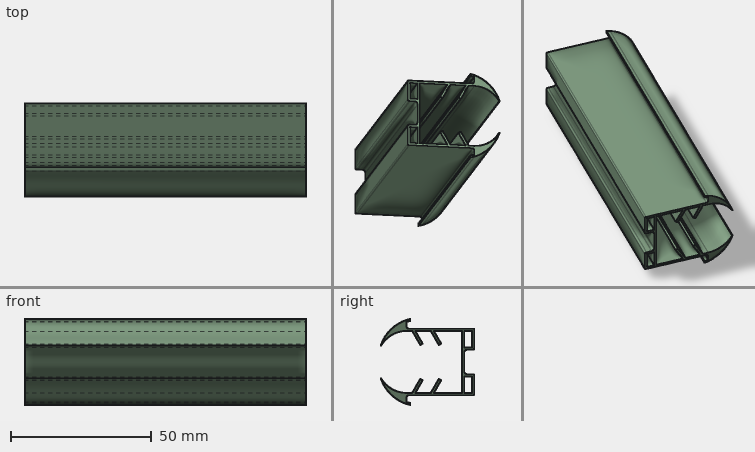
import cadquery as cq
import math

length = 100.0
depth = 33.4
height = 30.7
wall = 0.9

body_half_height = 11.9
web_front = 4.5
channel_half_height = 4.3
channel_fillet = 1.0
channel_edge_fillet = 0.7
rear_corner_fillet = 0.5

jaw_start = 24.1
jaw_step_fillet = 0.7
lip_overhang = 1.3
lip_thickness = 0.8
lip_slope = 0.25
jaw_tip_half_gap = 5.8
jaw_tip_width = 0.2
jaw_outer_radius = 14.8

rib_angle = 60.0
rib_thickness = 1.0
rib_length = 5.2
rib_first_root = 14.4
rib_pitch = 6.6
rib_count = 2

back = depth / 2
half_height = height / 2
inner_half_height = body_half_height - wall
web_back = web_front - wall


def block(near, far, bottom, top):
    """Full-length bar between two depths from the back face and two heights."""
    return (
        cq.Workplane("XY")
        .box(length, far - near, top - bottom, centered=(True, False, False))
        .translate((0, back - far, bottom))
    )


def section(start_depth, start_height):
    """Start a section outline at a depth from the back face and a height."""
    return cq.Workplane("YZ", origin=(-length / 2, 0, 0)).moveTo(back - start_depth, start_height)


def rear_body():
    """Web with a hollow chamber above and below the open rear channel."""
    body = block(0, web_front, -body_half_height, body_half_height)
    channel = block(0, web_back, -channel_half_height, channel_half_height)
    channel = channel.edges("|X and <Y").fillet(channel_fillet)
    body = body.cut(channel)
    body = body.faces(">Y").edges("|X").edges(">Z or <Z").fillet(rear_corner_fillet)
    channel_zone = cq.selectors.BoxSelector(
        (-length, back - wall, -channel_half_height - wall),
        (length, back + wall, channel_half_height + wall),
    )
    body = body.faces(">Y").edges("|X").edges(channel_zone).fillet(channel_edge_fillet)
    chamber = block(wall, web_back, channel_half_height + wall, inner_half_height)
    return body.cut(chamber).cut(chamber.mirror("XY"))


def jaw():
    """Upper crescent: hooked lip at the rear, narrow blunt tip at the front."""
    lip_back = jaw_start - lip_overhang
    lip_bottom = half_height - lip_thickness
    lip_drop = lip_slope * lip_overhang
    run = depth - jaw_tip_width - jaw_start
    drop = inner_half_height - jaw_tip_half_gap
    inner_radius = (run**2 + drop**2) / (2 * drop)
    return (
        section(jaw_start, inner_half_height)
        .lineTo(back - jaw_start, lip_bottom - lip_drop)
        .lineTo(back - lip_back, lip_bottom)
        .lineTo(back - lip_back, half_height)
        .lineTo(back - jaw_start, half_height - lip_drop)
        .radiusArc((back - depth, jaw_tip_half_gap), -jaw_outer_radius)
        .lineTo(back - depth + jaw_tip_width, jaw_tip_half_gap)
        .radiusArc((back - jaw_start, inner_half_height), inner_radius)
        .close()
        .extrude(length)
    )


def step_fillet():
    """Concave fillet between the top wall and the step of the jaw."""
    corner = block(
        jaw_start - jaw_step_fillet, jaw_start,
        body_half_height, body_half_height + jaw_step_fillet,
    )
    round_cut = (
        section(jaw_start - jaw_step_fillet, body_half_height + jaw_step_fillet)
        .circle(jaw_step_fillet)
        .extrude(length)
    )
    return corner.cut(round_cut)


def rib(root):
    """Slanted rib hanging from the top wall and leaning to the back."""
    angle = math.radians(rib_angle)
    tip_depth = root - rib_length * math.cos(angle)
    tip_height = inner_half_height - rib_length * math.sin(angle)
    root_width = rib_thickness / math.sin(angle)
    embed = wall / 2
    embed_shift = embed / math.tan(angle)
    return (
        section(root + embed_shift, inner_half_height + embed)
        .lineTo(back - tip_depth, tip_height)
        .lineTo(
            back - tip_depth - rib_thickness * math.sin(angle),
            tip_height - rib_thickness * math.cos(angle),
        )
        .lineTo(back - root - root_width - embed_shift, inner_half_height + embed)
        .close()
        .extrude(length)
    )


upper_half = block(web_back, jaw_start, inner_half_height, body_half_height)
upper_half = upper_half.union(jaw()).union(step_fillet())
for index in range(rib_count):
    upper_half = upper_half.union(rib(rib_first_root + index * rib_pitch))

result = rear_body().union(upper_half).union(upper_half.mirror("XY"))